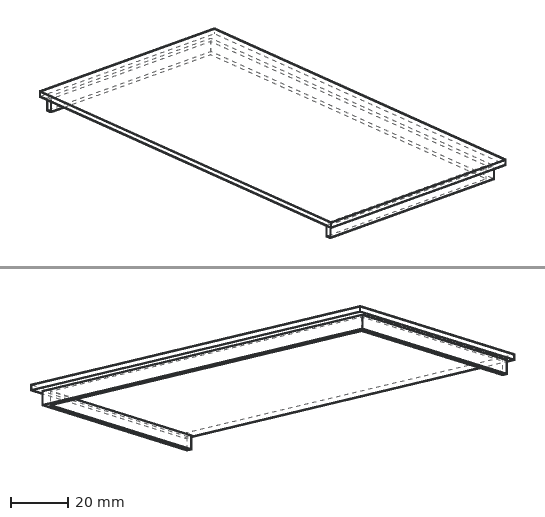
import cadquery as cq

length = 152.6
width = 81.8
height = 7.0
plate_thickness = 2.0

wall_thickness = 2.0
side_inset = 2.1
front_inset = 1.5
back_inset = 3.5

rim_height = height - plate_thickness
rim_length = length - 2 * side_inset
rim_width = width - front_inset - back_inset
rim_front = -width / 2 + front_inset


def rim_block(block_length, block_width):
    """Block centred in X, starting at the front of the rim and rising to the plate."""
    block = cq.Workplane("XY").box(block_length, block_width, rim_height, centered=(True, False, False))
    return block.translate((0, rim_front, 0))


plate = (
    cq.Workplane("XY")
    .box(length, width, plate_thickness, centered=(True, True, False))
    .translate((0, 0, rim_height))
)

rim_outside = rim_block(rim_length, rim_width)
rim_inside = rim_block(rim_length - 2 * wall_thickness, rim_width - wall_thickness)
rim = rim_outside.cut(rim_inside)

result = plate.union(rim)